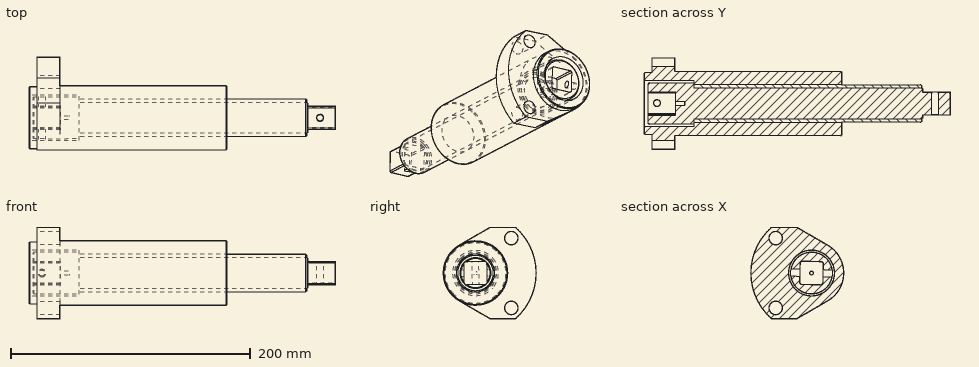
import cadquery as cq
import math

total_length = 255.3

housing_length = 165.0
housing_diameter = 53.9
housing_chamfer = 0.8
spigot_diameter = 52.0
spigot_length = 6.5
spigot_chamfer = 0.8
head_bore_diameter = 38.0

flange_thickness = 19.1
flange_height = 76.3
flange_span = 77.5
flange_slope = math.radians(30)
bolt_hole_diameter = 11.0
bolt_hole_y = 29.9
bolt_hole_z = 29.0

sleeve_diameter = 31.7
sleeve_end = 231.5
sleeve_chamfer = 1.0

head_diameter = 35.0
head_recess = 3.0
head_length = 38.3
head_chamfer = 1.0
stem_diameter = 25.8
stem_projection = 0.8
stem_chamfer = 0.8
square_width = 19.1
square_corner_diameter = 25.5
square_turn = 1.5
socket_depth = 23.0
cross_hole_diameter = 5.5
drive_hole_from_tip = 12.8
socket_hole_depth = 7.7
centre_hole_diameter = 3.0
centre_hole_depth = 7.7

head_end = head_recess + head_length
stem_end = sleeve_end + stem_projection


def cylinder(diameter, start, end):
    """Cylinder on the X axis between two X positions."""
    return cq.Workplane("YZ", origin=(start, 0, 0)).circle(diameter / 2).extrude(end - start)


def square_bar(start, end):
    """Turned square bar on the X axis, with its corners rounded by a larger circle."""
    bar = cq.Workplane("YZ", origin=(start, 0, 0)).rect(square_width, square_width).extrude(end - start)
    bar = bar.intersect(cylinder(square_corner_diameter, start, end))
    return bar.rotate((0, 0, 0), (1, 0, 0), square_turn)


def cross_pin(x, plane):
    """Cutter for a cross hole that turns with the square."""
    pin = cq.Workplane(plane, origin=(x, 0, 0)).circle(cross_hole_diameter / 2)
    pin = pin.extrude(head_diameter, both=True)
    return pin.rotate((0, 0, 0), (1, 0, 0), square_turn)


def make_flange():
    """Plate with a round +Y side and two sloping sides tangent to the housing."""
    radius = housing_diameter / 2
    reach = flange_span - radius
    top = flange_height / 2
    arc_end_y = math.sqrt(reach**2 - top**2)
    slope_start_y = (top * math.cos(flange_slope) - radius) / math.sin(flange_slope)
    tangent_y = -radius * math.sin(flange_slope)
    tangent_z = radius * math.cos(flange_slope)
    return (
        cq.Workplane("YZ", origin=(spigot_length, 0, 0))
        .moveTo(arc_end_y, -top)
        .threePointArc((reach, 0), (arc_end_y, top))
        .lineTo(slope_start_y, top)
        .lineTo(tangent_y, tangent_z)
        .threePointArc((-radius, 0), (tangent_y, -tangent_z))
        .lineTo(slope_start_y, -top)
        .close()
        .extrude(flange_thickness)
        .faces("<X")
        .workplane(origin=(spigot_length, 0, 0))
        .pushPoints([(-bolt_hole_y, bolt_hole_z), (-bolt_hole_y, -bolt_hole_z)])
        .hole(bolt_hole_diameter)
    )


def make_housing():
    """Flanged barrel with a spigot, a head bore and a smaller bore for the sleeve."""
    barrel = cylinder(housing_diameter, spigot_length, housing_length)
    barrel = barrel.faces(">X").chamfer(housing_chamfer)
    spigot = cylinder(spigot_diameter, 0, spigot_length).faces("<X").chamfer(spigot_chamfer)
    body = barrel.union(make_flange()).union(spigot)
    body = body.cut(cylinder(head_bore_diameter, 0, head_end))
    return body.cut(cylinder(sleeve_diameter, head_end, housing_length))


def make_sleeve():
    """Plain tube that runs from the spindle head out of the housing."""
    tube = cylinder(sleeve_diameter, head_end, sleeve_end).faces(">X").chamfer(sleeve_chamfer)
    return tube.cut(cylinder(stem_diameter, head_end, sleeve_end))


def make_spindle():
    """Shaft with a socketed head at one end and a square drive at the other."""
    head = cylinder(head_diameter, head_recess, head_end).faces("<X").chamfer(head_chamfer)
    stem = cylinder(stem_diameter, head_end, stem_end).faces(">X").chamfer(stem_chamfer)
    body = head.union(stem).union(square_bar(sleeve_end, total_length))
    socket_floor = head_recess + socket_depth
    body = body.cut(square_bar(head_recess, socket_floor))
    body = body.cut(cylinder(centre_hole_diameter, socket_floor, socket_floor + centre_hole_depth))
    body = body.cut(cross_pin(head_recess + socket_hole_depth, "XZ"))
    return body.cut(cross_pin(total_length - drive_hole_from_tip, "XY"))


housing = make_housing()
sleeve = make_sleeve()
spindle = make_spindle()

result = cq.Compound.makeCompound([housing.val(), sleeve.val(), spindle.val()])